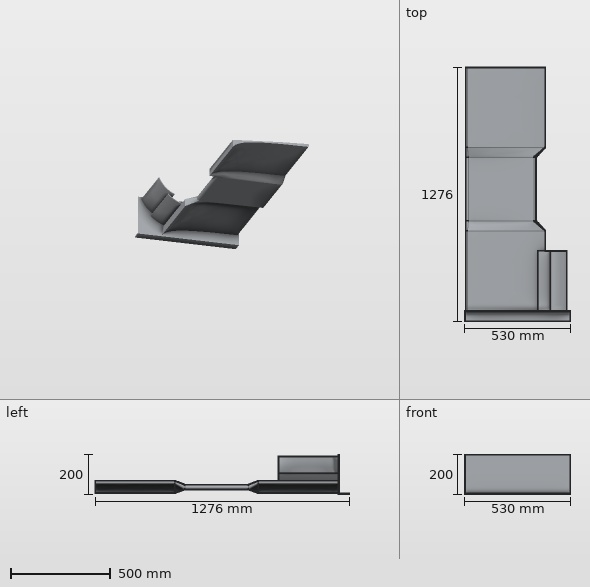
import cadquery as cq

PLATE_WIDTH = 530.0
PLATE_HEIGHT = 200.0
PLATE_THICKNESS = 5.0
FLANGE_DEPTH = 55.0
FLANGE_THICKNESS = 6.0

TOTAL_LENGTH = 1276.0
FOIL_LENGTH = 401.0
NECK_LENGTH = 50.0
BLADE_LEFT = 4.0
FOIL_CHORD = 401.0
FOIL_TOP_Z = 69.0
NOSE_THICKNESS = 15.0
TAIL_TOP_Z = 45.0
TAIL_BOTTOM_Z = 6.0
TOP_CONTROL_X = 77.0
LIP_CONTROL = (376.0, 43.0)
UNDERSIDE_CONTROL_X = 281.0
STRAP_WIDTH = 355.0
STRAP_THICKNESS = 25.0
STRAP_BOTTOM_Z = 24.0

STRIP_LENGTH = 300.0
STRIP_THICKNESS = 4.0
LOWER_STRIP_POINTS = [(367.0, 56.0), (419.0, 73.0), (462.0, 105.0)]
UPPER_STRIP_POINTS = [(430.0, 108.0), (482.0, 145.0), (510.0, 189.0)]


def section_plane(y):
    """XZ workplane at the given Y, with local axes along +X and +Z."""
    return cq.Workplane("XZ", origin=(0, y, 0))


def foil_section(plane):
    """Round nose, gently sloping top, blunt tail and hollow underside."""
    nose_radius = NOSE_THICKNESS / 2
    nose_x = BLADE_LEFT + nose_radius
    tail_x = BLADE_LEFT + FOIL_CHORD
    nose_bottom = (nose_x, FOIL_TOP_Z - NOSE_THICKNESS)
    return (
        plane.moveTo(*nose_bottom)
        .threePointArc((BLADE_LEFT, FOIL_TOP_Z - nose_radius), (nose_x, FOIL_TOP_Z))
        .bezier([(TOP_CONTROL_X, FOIL_TOP_Z), (tail_x, TAIL_TOP_Z)], includeCurrent=True)
        .lineTo(tail_x, TAIL_BOTTOM_Z)
        .bezier([LIP_CONTROL, (UNDERSIDE_CONTROL_X, nose_bottom[1]), nose_bottom], includeCurrent=True)
        .close()
    )


def strap_section(plane):
    """Flat bar with fully rounded side edges."""
    radius = STRAP_THICKNESS / 2
    left_x = BLADE_LEFT + radius
    right_x = BLADE_LEFT + STRAP_WIDTH - radius
    middle_z = STRAP_BOTTOM_Z + radius
    top_z = STRAP_BOTTOM_Z + STRAP_THICKNESS
    return (
        plane.moveTo(left_x, STRAP_BOTTOM_Z)
        .threePointArc((BLADE_LEFT, middle_z), (left_x, top_z))
        .lineTo(right_x, top_z)
        .threePointArc((right_x + radius, middle_z), (right_x, STRAP_BOTTOM_Z))
        .close()
    )


def make_neck(foil_y, strap_y):
    """Taper from a foil section to a strap section."""
    foil_wire = foil_section(section_plane(foil_y)).val()
    strap_wire = strap_section(section_plane(strap_y)).val()
    return cq.Workplane(cq.Solid.makeLoft([foil_wire, strap_wire], True))


def make_blade():
    front_y = FLANGE_DEPTH
    front_foil_end = front_y + FOIL_LENGTH
    strap_start = front_foil_end + NECK_LENGTH
    rear_foil_start = TOTAL_LENGTH - FOIL_LENGTH
    strap_end = rear_foil_start - NECK_LENGTH

    front_foil = foil_section(section_plane(front_y)).extrude(-FOIL_LENGTH)
    rear_foil = foil_section(section_plane(rear_foil_start)).extrude(-FOIL_LENGTH)
    strap = strap_section(section_plane(strap_start)).extrude(strap_start - strap_end)
    front_neck = make_neck(front_foil_end, strap_start)
    rear_neck = make_neck(rear_foil_start, strap_end)
    return front_foil.union(front_neck).union(strap).union(rear_neck).union(rear_foil)


def make_plate():
    flange = cq.Workplane().box(PLATE_WIDTH, FLANGE_DEPTH, FLANGE_THICKNESS, centered=False)
    wall = (
        cq.Workplane(origin=(0, FLANGE_DEPTH - PLATE_THICKNESS, 0))
        .box(PLATE_WIDTH, PLATE_THICKNESS, PLATE_HEIGHT, centered=False)
    )
    return flange.union(wall)


def make_strip(points):
    """Thin arc-shaped strip running back from the wall."""
    start, middle, end = points
    return (
        section_plane(FLANGE_DEPTH)
        .moveTo(*start)
        .threePointArc(middle, end)
        .offset2D(STRIP_THICKNESS / 2)
        .extrude(-STRIP_LENGTH)
    )


plate = make_plate()
blade = make_blade()
strips = [make_strip(points) for points in (LOWER_STRIP_POINTS, UPPER_STRIP_POINTS)]

result = cq.Compound.makeCompound([plate.val(), blade.val(), *[strip.val() for strip in strips]])